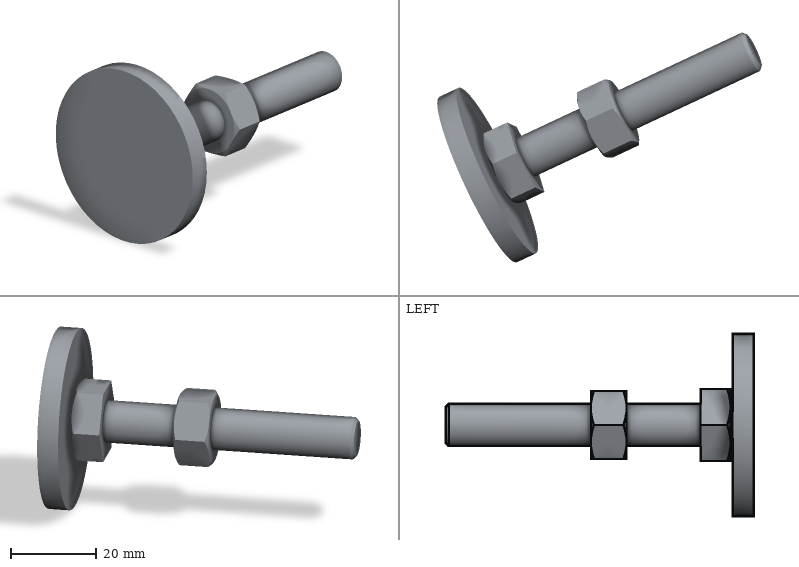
import cadquery as cq
import math

total_length = 72.5

plate_diameter = 43.0
plate_thickness = 5.0

plate_gap = 0.5
ball_radius = 3.4
ball_depth = 0.9

stud_diameter = 10.0
tip_chamfer = 0.8
head_length = 7.0
head_across_flats = 17.0
head_start = plate_thickness + plate_gap
head_end = head_start + head_length

nut_length = 8.4
nut_across_flats = 16.0
nut_start = 29.95

hex_sides = 6
corner_angle = 30.0
ball_center = plate_thickness - ball_depth


def rod(diameter, start, end):
    """Cylinder along +Y between two stations."""
    return cq.Workplane("XZ", origin=(0, start, 0)).circle(diameter / 2).extrude(start - end)


def ball():
    """Sphere revolved about the Y axis."""
    half_disc = (
        cq.Workplane("XY")
        .moveTo(0, ball_center - ball_radius)
        .threePointArc((ball_radius, ball_center), (0, ball_center + ball_radius))
        .close()
    )
    return half_disc.revolve(360, (0, 0, 0), (0, 1, 0))


def chamfered_hexagon(across_flats, start, length, chamfer_far_end):
    """Hexagonal prism with flats facing +Z and -Z and its corners turned to a cone."""
    flat_radius = across_flats / 2
    corner_radius = flat_radius / math.cos(math.pi / hex_sides)
    drop = (corner_radius - flat_radius) * math.tan(math.radians(corner_angle))
    end = start + length
    prism = (
        cq.Workplane("XZ", origin=(0, start, 0))
        .polygon(hex_sides, 2 * corner_radius)
        .extrude(-length)
    )
    profile = cq.Workplane("XY").moveTo(0, start).lineTo(flat_radius, start)
    profile = profile.lineTo(corner_radius, start + drop)
    if chamfer_far_end:
        profile = profile.lineTo(corner_radius, end - drop).lineTo(flat_radius, end)
    else:
        profile = profile.lineTo(corner_radius, end)
    turned_blank = profile.lineTo(0, end).close().revolve(360, (0, 0, 0), (0, 1, 0))
    return prism.intersect(turned_blank)


def make_plate():
    return rod(plate_diameter, 0, plate_thickness).cut(ball())


def make_stud():
    head = chamfered_hexagon(head_across_flats, head_start, head_length, False)
    shank = rod(stud_diameter, head_end, total_length).faces(">Y").chamfer(tip_chamfer)
    neck = ball().intersect(rod(stud_diameter, 0, head_start))
    return head.union(shank).union(neck)


def make_nut():
    blank = chamfered_hexagon(nut_across_flats, nut_start, nut_length, True)
    return blank.cut(rod(stud_diameter, nut_start, nut_start + nut_length))


plate = make_plate()
stud = make_stud()
nut = make_nut()

result = cq.Compound.makeCompound([plate.val(), stud.val(), nut.val()])